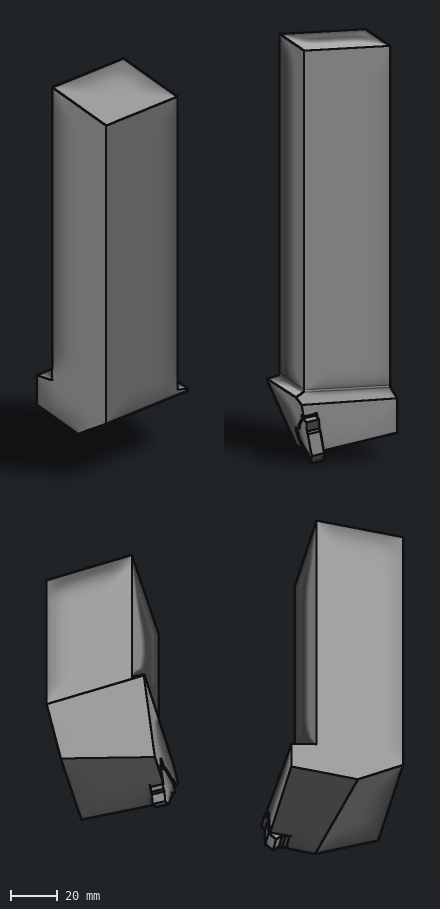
import cadquery as cq
import math

shank_side = 38.2
total_height = 177.5

shoulder_height = 29.5
shoulder_slope = math.tan(math.radians(15))
shoulder_fillet = 0.9
head_overhang_front = 11.0
head_overhang_back = 12.2
head_depth = 43.7
heel_height = 26.8
heel_angle = 37.5
tilt = 10.0
bottom_offset = 11.4
back_offset = shank_side
back_offset_left = 37.6

insert_front = 31.6
insert_back = 37.3
insert_center_x = -6.2
insert_center_z = 17.4
tooth_count = 3
edge_offset = 6.5
edge_top = 2.8
edge_bottom = -7.0
tip = (-3.4, -10.8)
tooth_root = (-0.5, -6.7)

clearance_right = -8.9
clearance_top = 28.0

margin = 35.5


def tilted(body):
    """Lean a body backwards about the X axis."""
    return body.rotate((0, 0, 0), (1, 0, 0), -tilt)


def make_tilted_block():
    """Block bounded by the tilted underside and the tapering back face."""
    block = (
        cq.Workplane("XY")
        .polyline([
            (-head_overhang_back, -margin),
            (shank_side, -margin),
            (shank_side, back_offset),
            (-head_overhang_back, back_offset_left),
        ])
        .close()
        .extrude(total_height)
    )
    return tilted(block.translate((0, 0, bottom_offset)))


def make_head():
    left = -margin
    heel_run = heel_height / math.tan(math.radians(heel_angle))
    front_profile = (
        cq.Workplane("XZ")
        .polyline([
            (left, 0),
            (shank_side - heel_run, 0),
            (shank_side, heel_height),
            (shank_side, shoulder_height),
            (0, shoulder_height),
            (left, shoulder_height + left * shoulder_slope),
        ])
        .close()
        .extrude(-head_depth)
    )
    back_drop = (head_depth - shank_side) * shoulder_slope
    side_profile = (
        cq.Workplane("YZ")
        .polyline([
            (0, 0),
            (head_depth, 0),
            (head_depth, shoulder_height - back_drop),
            (shank_side, shoulder_height),
            (0, shoulder_height),
        ])
        .close()
        .extrude(shank_side + 2 * margin)
        .translate((left, 0, 0))
    )
    plan_profile = (
        cq.Workplane("XY")
        .polyline([
            (-head_overhang_front, 0),
            (shank_side, 0),
            (shank_side, head_depth),
            (-head_overhang_back, head_depth),
        ])
        .close()
        .extrude(shoulder_height)
    )
    return front_profile.intersect(side_profile).intersect(plan_profile).intersect(make_tilted_block())


def make_insert(back):
    """Plate with identical teeth turned about its centre, ending at the given back."""
    tooth = [(-edge_offset, edge_top), (-edge_offset, edge_bottom), tip, tooth_root]
    outline = []
    for index in range(tooth_count):
        turn = 2 * math.pi * index / tooth_count
        for x, z in tooth:
            outline.append((
                insert_center_x + x * math.cos(turn) - z * math.sin(turn),
                insert_center_z + x * math.sin(turn) + z * math.cos(turn),
            ))
    plate = cq.Workplane("XZ", origin=(0, insert_front, 0)).polyline(outline).close()
    return tilted(plate.extrude(insert_front - back))


def make_clearance():
    """Open space that frees the left side of the insert."""
    space = cq.Workplane("XY").box(margin, margin, clearance_top, centered=False)
    return tilted(space.translate((clearance_right - margin, insert_front, 0)))


def make_holder():
    shank = (
        cq.Workplane("XY", origin=(0, 0, shoulder_height))
        .rect(shank_side, shank_side, centered=False)
        .extrude(total_height - shoulder_height)
    )
    body = shank.union(make_head())
    inner_corners = (
        cq.selectors.NearestToPointSelector((0, shank_side / 2, shoulder_height))
        + cq.selectors.NearestToPointSelector((shank_side / 2, shank_side, shoulder_height))
    )
    body = body.edges(inner_corners).fillet(shoulder_fillet)
    return body.cut(make_insert(back_offset + margin)).cut(make_clearance())


holder = make_holder().solids()
insert = make_insert(insert_back)

result = cq.Compound.makeCompound([holder.val(), insert.val()])